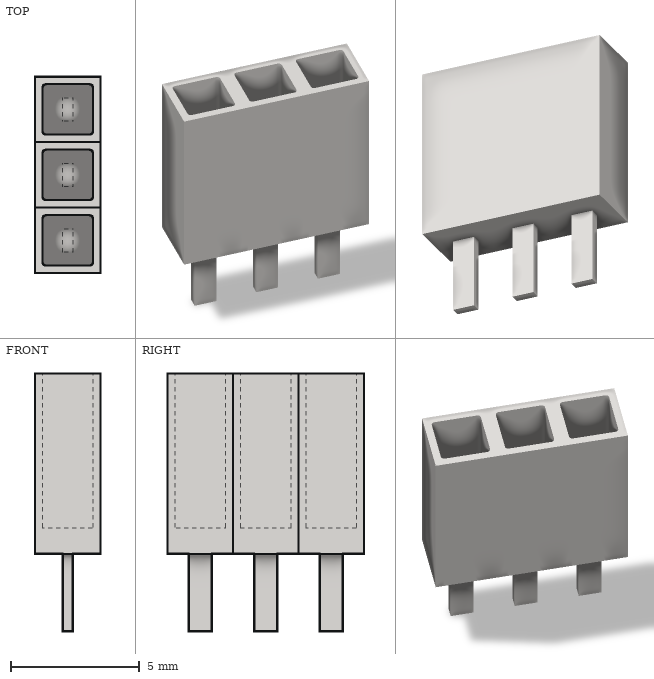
import cadquery as cq

contact_count = 3
pitch = 2.54
housing_height = 7.0

socket_width = 1.95
socket_corner_radius = 0.13
socket_floor_thickness = 1.0
socket_depth = housing_height - socket_floor_thickness

pin_thickness = 0.4
pin_width = 0.9
pin_length = 3.0


def make_housing(y_center):
    """Square block standing on Z = 0, with a blind socket open at the top."""
    block = (
        cq.Workplane("XY")
        .center(0, y_center)
        .rect(pitch, pitch)
        .extrude(housing_height)
    )
    socket = (
        cq.Workplane("XY")
        .workplane(offset=socket_floor_thickness)
        .center(0, y_center)
        .rect(socket_width, socket_width)
        .extrude(socket_depth)
        .edges("|Z")
        .fillet(socket_corner_radius)
    )
    return block.cut(socket)


def make_pin(y_center):
    """Flat pin hanging from the underside of a housing."""
    return (
        cq.Workplane("XY")
        .center(0, y_center)
        .rect(pin_thickness, pin_width)
        .extrude(-pin_length)
    )


bodies = []
for index in range(contact_count):
    contact_y = (index - (contact_count - 1) / 2) * pitch
    bodies.append(make_housing(contact_y).val())
    bodies.append(make_pin(contact_y).val())

result = cq.Compound.makeCompound(bodies)